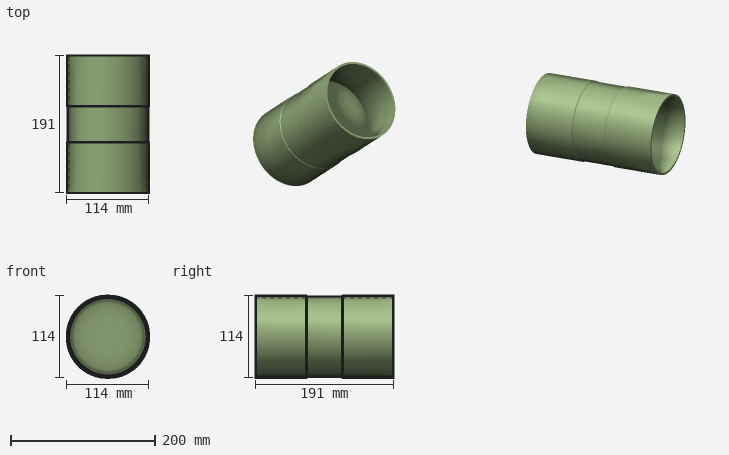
import cadquery as cq

total_length = 191.0
outer_diameter = 114.0
waist_diameter = 112.0
bore_diameter = 108.0
waist_length = 49.0
taper_length = 1.0
socket_depth = 69.5

outer_radius = outer_diameter / 2
waist_radius = waist_diameter / 2
bore_radius = bore_diameter / 2
end_y = total_length / 2
waist_end_y = waist_length / 2
shoulder_y = waist_end_y + taper_length
socket_floor_y = end_y - socket_depth


def make_coupling():
    """Revolve half of the wall section about the Y axis."""
    section = (
        cq.Workplane("XY")
        .moveTo(0, -socket_floor_y)
        .lineTo(bore_radius, -socket_floor_y)
        .lineTo(bore_radius, -end_y)
        .lineTo(outer_radius, -end_y)
        .lineTo(outer_radius, -shoulder_y)
        .lineTo(waist_radius, -waist_end_y)
        .lineTo(waist_radius, waist_end_y)
        .lineTo(outer_radius, shoulder_y)
        .lineTo(outer_radius, end_y)
        .lineTo(bore_radius, end_y)
        .lineTo(bore_radius, socket_floor_y)
        .lineTo(0, socket_floor_y)
        .close()
    )
    return section.revolve(360, (0, 0, 0), (0, 1, 0))


result = make_coupling()